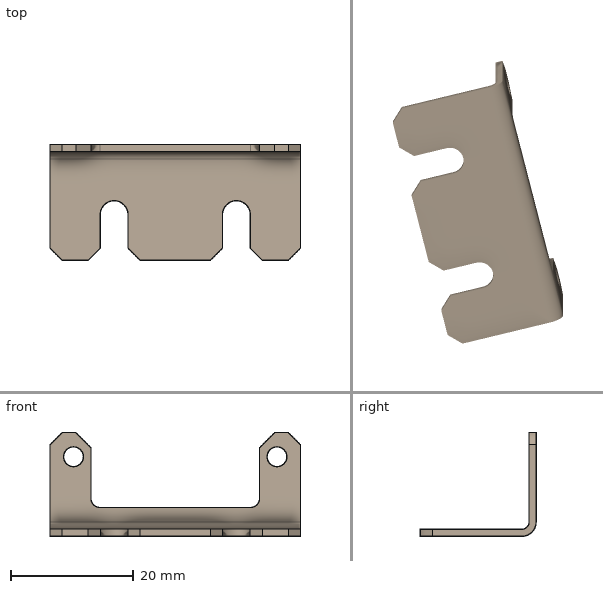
import cadquery as cq

width = 41.0
depth = 19.0
height = 17.0

thickness = 1.2
inner_bend_radius = 1.2
outer_bend_radius = inner_bend_radius + thickness

tab_width = 6.72
web_height = 4.75
tab_fillet = 1.48
tab_inner_chamfer = 2.5
tab_hole_diameter = 3.2
tab_hole_from_side = 3.85
tab_hole_from_top = 3.98

slot_width = 4.5
slot_length = 9.75
slot_spacing = 20.0

corner_chamfer = 2.0

front = -depth / 2
side = width / 2


def bent_sheet():
    """L-shaped sheet with concentric bend radii, centred on X."""
    outer = cq.Workplane("XY").box(width, depth, height, centered=(True, True, False))
    outer = outer.edges("|X and >Y and <Z").fillet(outer_bend_radius)
    inner = (
        cq.Workplane("XY")
        .box(width, depth, height, centered=(True, True, False))
        .edges("|X and >Y and <Z")
        .fillet(inner_bend_radius)
        .translate((0, -thickness, thickness))
    )
    return outer.cut(inner)


def through_upright(sketch):
    """Extrude an XZ sketch along the whole depth."""
    return sketch.extrude(depth / 2, both=True)


def tab_opening():
    """Opening between the tabs, rounded at the web and flared at the top."""
    half_opening = side - tab_width
    opening = through_upright(
        cq.Workplane("XZ")
        .moveTo(-half_opening, web_height)
        .lineTo(half_opening, web_height)
        .lineTo(half_opening, height - tab_inner_chamfer)
        .lineTo(half_opening + tab_inner_chamfer, height)
        .lineTo(-half_opening - tab_inner_chamfer, height)
        .lineTo(-half_opening, height - tab_inner_chamfer)
        .close()
    )
    return opening.edges("|Y and <Z").fillet(tab_fillet)


def tab_holes():
    """Round holes near the tops of the tabs."""
    hole_x = side - tab_hole_from_side
    hole_z = height - tab_hole_from_top
    return through_upright(
        cq.Workplane("XZ")
        .pushPoints([(-hole_x, hole_z), (hole_x, hole_z)])
        .circle(tab_hole_diameter / 2)
    )


def base_slot(center_x):
    """Round-ended slot through the base with a chamfered mouth."""
    radius = slot_width / 2
    arc_start = front + slot_length - radius
    mouth_half = radius + corner_chamfer
    return (
        cq.Workplane("XY")
        .moveTo(center_x - mouth_half, front)
        .lineTo(center_x - radius, front + corner_chamfer)
        .lineTo(center_x - radius, arc_start)
        .threePointArc((center_x, front + slot_length), (center_x + radius, arc_start))
        .lineTo(center_x + radius, front + corner_chamfer)
        .lineTo(center_x + mouth_half, front)
        .close()
        .extrude(thickness)
    )


bracket = bent_sheet()

bracket = bracket.faces("<Y").edges("|Z").chamfer(corner_chamfer)
bracket = bracket.faces(">Z").edges("|Y").chamfer(corner_chamfer)

bracket = bracket.cut(tab_opening()).cut(tab_holes())
for slot_x in (-slot_spacing / 2, slot_spacing / 2):
    bracket = bracket.cut(base_slot(slot_x))

result = bracket